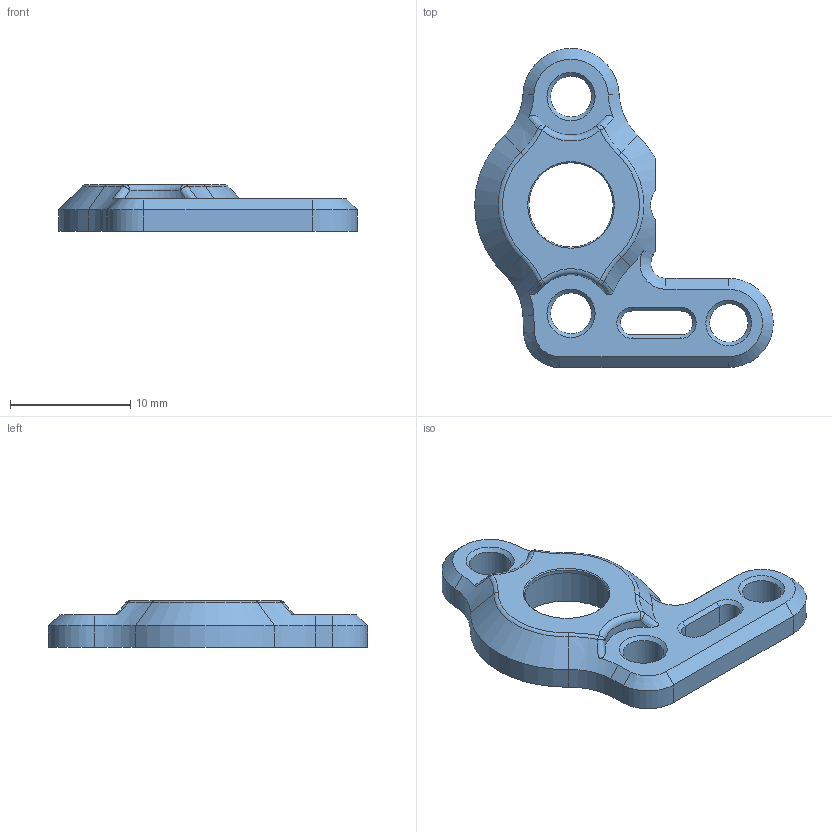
import cadquery as cq
import math

TOTAL_HEIGHT = 3.9
LEDGE_HEIGHT = 2.7
WALL_HEIGHT = 1.8
EDGE_ROUND = 0.5

HUB_RADIUS = 8.0
EAR_RADIUS = 4.0
EAR_OFFSET = 9.0
NECK_RADIUS = 5.0
EAR_RECESS_RADIUS = 3.2
BORE_DIAMETER = 7.0
BORE_CHAMFER = 0.1
POCKET_DIAMETER = 8.8
LIP_THICKNESS = 0.4
EAR_HOLE_DIAMETER = 3.4
HOLE_CHAMFER = 0.3

ARM_END_RADIUS = 3.7
ARM_END_X = 13.1
ARM_Y = -9.8
ARM_BOTTOM = ARM_Y - ARM_END_RADIUS
ARM_TOP = ARM_Y + ARM_END_RADIUS
ARM_CORNER_RADIUS = 3.0
ARM_HUB_FILLET = 1.25
ARM_HOLE_DIAMETER = 3.2
SLOT_X = 7.1
SLOT_LENGTH = 6.0
SLOT_WIDTH = 2.0

FLAT_X = 7.0
NOTCH_RADIUS = 2.0
NOTCH_DEPTH = 0.4

HUB_TO_NECK = HUB_RADIUS + NECK_RADIUS
EAR_TO_NECK = EAR_RADIUS + NECK_RADIUS
NECK_Y = (HUB_TO_NECK**2 - EAR_TO_NECK**2 + EAR_OFFSET**2) / (2 * EAR_OFFSET)
NECK_X = math.sqrt(HUB_TO_NECK**2 - NECK_Y**2)

HUB_TANGENT = (NECK_X * HUB_RADIUS / HUB_TO_NECK, NECK_Y * HUB_RADIUS / HUB_TO_NECK)
EAR_TANGENT = (
    NECK_X * EAR_RADIUS / EAR_TO_NECK,
    EAR_OFFSET + (NECK_Y - EAR_OFFSET) * EAR_RADIUS / EAR_TO_NECK,
)


def arc_middle(center, radius, start, end):
    """Point halfway along the shorter arc from start to end."""
    dx = (start[0] + end[0]) / 2 - center[0]
    dy = (start[1] + end[1]) / 2 - center[1]
    scale = radius / math.hypot(dx, dy)
    return (center[0] + dx * scale, center[1] + dy * scale)


NECK_MIDDLE = arc_middle((NECK_X, NECK_Y), NECK_RADIUS, HUB_TANGENT, EAR_TANGENT)


def mirrored(point, x_sign, y_sign):
    """Point with the signs of its coordinates changed."""
    return (point[0] * x_sign, point[1] * y_sign)


def shared_outline():
    """Open outline from the hub's +X side, over the upper ear and down the -X side to the lower ear."""
    return (
        cq.Workplane("XY")
        .moveTo(*HUB_TANGENT)
        .threePointArc(NECK_MIDDLE, EAR_TANGENT)
        .threePointArc((0, EAR_OFFSET + EAR_RADIUS), mirrored(EAR_TANGENT, -1, 1))
        .threePointArc(mirrored(NECK_MIDDLE, -1, 1), mirrored(HUB_TANGENT, -1, 1))
        .threePointArc((-HUB_RADIUS, 0), mirrored(HUB_TANGENT, -1, -1))
        .threePointArc(mirrored(NECK_MIDDLE, -1, -1), mirrored(EAR_TANGENT, -1, -1))
    )


def hub_outline():
    """Hub with two opposite ears, symmetric about X and Y."""
    return (
        shared_outline()
        .threePointArc((0, -EAR_OFFSET - EAR_RADIUS), mirrored(EAR_TANGENT, 1, -1))
        .threePointArc(mirrored(NECK_MIDDLE, 1, -1), mirrored(HUB_TANGENT, 1, -1))
        .threePointArc((HUB_RADIUS, 0), HUB_TANGENT)
        .close()
    )


def plate_outline():
    """Hub, upper ear and the arm that swallows the lower ear."""
    ear_end = mirrored(EAR_TANGENT, -1, -1)
    side_angle = math.atan2(NECK_Y - EAR_OFFSET, NECK_X)
    corner_y = ARM_BOTTOM + ARM_CORNER_RADIUS
    side_end_y = corner_y - ARM_CORNER_RADIUS * math.sin(side_angle)
    side_end = (ear_end[0] + (ear_end[1] - side_end_y) * math.tan(side_angle), side_end_y)
    corner = (side_end[0] + ARM_CORNER_RADIUS * math.cos(side_angle), corner_y)
    corner_end = (corner[0], ARM_BOTTOM)

    fillet_y = ARM_TOP + ARM_HUB_FILLET
    hub_to_fillet = HUB_RADIUS + ARM_HUB_FILLET
    fillet = (math.sqrt(hub_to_fillet**2 - fillet_y**2), fillet_y)
    fillet_start = (fillet[0], ARM_TOP)
    fillet_end = (fillet[0] * HUB_RADIUS / hub_to_fillet, fillet_y * HUB_RADIUS / hub_to_fillet)

    return (
        shared_outline()
        .lineTo(*side_end)
        .threePointArc(arc_middle(corner, ARM_CORNER_RADIUS, side_end, corner_end), corner_end)
        .lineTo(ARM_END_X, ARM_BOTTOM)
        .threePointArc((ARM_END_X + ARM_END_RADIUS, ARM_Y), (ARM_END_X, ARM_TOP))
        .lineTo(*fillet_start)
        .threePointArc(arc_middle(fillet, ARM_HUB_FILLET, fillet_start, fillet_end), fillet_end)
        .threePointArc((HUB_RADIUS, 0), HUB_TANGENT)
        .close()
    )


def make_plate():
    plate = plate_outline().extrude(LEDGE_HEIGHT)
    return plate.faces(">Z").chamfer(LEDGE_HEIGHT - WALL_HEIGHT)


def make_boss():
    """Raised hub above the ledge: 45 degree flanks, cut back around both ears, edges rounded."""
    boss = hub_outline().extrude(TOTAL_HEIGHT).faces(">Z").chamfer(TOTAL_HEIGHT - WALL_HEIGHT)
    full_length = 2 * (EAR_OFFSET + EAR_RADIUS)
    below_ledge = cq.Workplane("XY").rect(full_length, full_length).extrude(LEDGE_HEIGHT)
    ears = (
        cq.Workplane("XY")
        .pushPoints([(0, EAR_OFFSET), (0, -EAR_OFFSET)])
        .circle(EAR_RECESS_RADIUS)
        .extrude(TOTAL_HEIGHT)
    )
    return boss.cut(below_ledge).cut(ears).edges("not(%LINE or <Z)").fillet(EDGE_ROUND)


def countersunk_hole(x, y, diameter, chamfer):
    """Cutter for a through hole with a 45 degree chamfer at the ledge height."""
    radius = diameter / 2
    return (
        cq.Workplane("XZ", origin=(x, y, 0))
        .polyline([
            (0, 0),
            (radius, 0),
            (radius, LEDGE_HEIGHT - chamfer),
            (radius + chamfer, LEDGE_HEIGHT),
            (0, LEDGE_HEIGHT),
        ])
        .close()
        .revolve(360, (0, 0), (0, 1))
    )


def cut_small_holes(body):
    body = body.cut(countersunk_hole(0, EAR_OFFSET, EAR_HOLE_DIAMETER, HOLE_CHAMFER))
    body = body.cut(countersunk_hole(0, -EAR_OFFSET, EAR_HOLE_DIAMETER, HOLE_CHAMFER))
    return body.cut(countersunk_hole(ARM_END_X, ARM_Y, ARM_HOLE_DIAMETER, HOLE_CHAMFER))


def cut_slot(body):
    slot = cq.Workplane("XY").center(SLOT_X, ARM_Y).slot2D(SLOT_LENGTH, SLOT_WIDTH).extrude(LEDGE_HEIGHT)
    rim = (
        cq.Workplane("XY", origin=(SLOT_X, ARM_Y, LEDGE_HEIGHT))
        .slot2D(SLOT_LENGTH + 2 * HOLE_CHAMFER, SLOT_WIDTH + 2 * HOLE_CHAMFER)
        .extrude(-HOLE_CHAMFER, taper=45)
    )
    return body.cut(slot).cut(rim)


def cut_bore(body):
    """Chamfered bore through a thin top lip, with a wider pocket open to the bottom."""
    bore = cq.Workplane("XY").circle(BORE_DIAMETER / 2).extrude(TOTAL_HEIGHT)
    rim = (
        cq.Workplane("XY", origin=(0, 0, TOTAL_HEIGHT))
        .circle(BORE_DIAMETER / 2 + BORE_CHAMFER)
        .extrude(-BORE_CHAMFER, taper=45)
    )
    pocket = cq.Workplane("XY").circle(POCKET_DIAMETER / 2).extrude(TOTAL_HEIGHT - LIP_THICKNESS)
    return body.cut(bore).cut(rim).cut(pocket)


def trim_side(body):
    """Flat on the +X side of the hub with a shallow round notch at its middle."""
    flat_half_length = math.sqrt(HUB_RADIUS**2 - FLAT_X**2)
    flat = (
        cq.Workplane("XY")
        .center(FLAT_X + HUB_RADIUS / 2, 0)
        .rect(HUB_RADIUS, 2 * flat_half_length)
        .extrude(TOTAL_HEIGHT)
    )
    notch = (
        cq.Workplane("XY")
        .center(FLAT_X - NOTCH_DEPTH + NOTCH_RADIUS, 0)
        .circle(NOTCH_RADIUS)
        .extrude(TOTAL_HEIGHT)
    )
    return body.cut(flat).cut(notch)


body = make_plate().union(make_boss())
body = cut_bore(body)
body = cut_small_holes(body)
body = cut_slot(body)
result = trim_side(body)